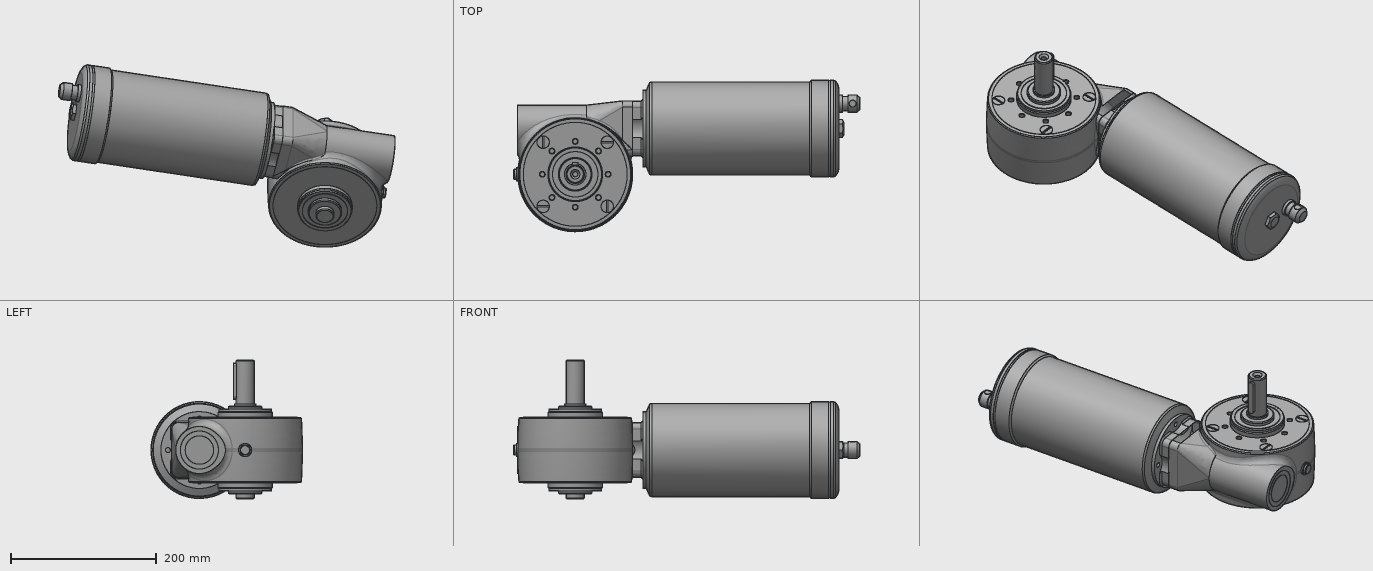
import cadquery as cq
import math


OVERALL_LENGTH = 474.5
PLUG_TIP_X = -84.5
GLAND_END_X = PLUG_TIP_X + OVERALL_LENGTH
MOTOR_Y = 62.5

HOUSING_HALF_HEIGHT = 45.0
HOUSING_MID_RADIUS = 78.5
HOUSING_RIM_RADIUS = 77.5
HOUSING_RIM_CHAMFER = 1.5
CROWN_SHARE = 0.6
SEAM_HALF_WIDTH = 1.5
LID_RADIUS = 71.0
LID_STEP = 0.5

HUB_RADIUS = 37.5
HUB_TOP_RADIUS = 36.0
HUB_STEP_Z = 51.0
HUB_STEP_HEIGHT = 1.5
HUB_END_Z = 56.0
SEAL_RADIUS = 62.0 / 2
SEAL_RECESS = 1.0
COLLAR_RADIUS = 46.0 / 2
COLLAR_END_Z = 60.0
COLLAR_CHAMFER = 1.5
SPACER_RADIUS = 14.5
SPACER_TOP_Z = 63.0
SHAFT_RADIUS = 25.0 / 2
SHAFT_TOP_Z = 123.5
SHAFT_BOTTOM_Z = -67.0
SHAFT_CHAMFER = 1.5
SINK_ANGLE = 90
CENTRE_HOLE_DIAMETER = 7.0
CENTRE_SINK_DIAMETER = 13.0
CENTRE_HOLE_DEPTH = 14.0
KEY_WIDTH = 8.0
KEY_BOTTOM_Z = 69.2
KEY_TOP_Z = 119.0
KEY_CROWN_Y = 16.0

TAPPED_HOLE_COUNT = 8
TAPPED_CIRCLE_RADIUS = 45.0
TAPPED_DIAMETER = 6.5
TAPPED_SINK_DIAMETER = 8.0
TAPPED_DEPTH = 9.5
SCREW_COUNT = 4
FIRST_SCREW_ANGLE = 45
SCREW_CIRCLE_RADIUS = 62.0
SCREW_DIAMETER = 17.0
SCREW_RECESS = 0.5
SLOT_WIDTH = 2.0
SLOT_DEPTH = 2.0

WORM_RADIUS = 32.3
WORM_START_X = -79.0
WORM_BLEND_RADIUS = 10.5
WORM_CAP_RADIUS = 52.0 / 2
WORM_CAP_INNER_RADIUS = 19.5
WORM_CAP_STEP = 0.5
TRANSITION_START_X = 15.5
LOFT_FLAT = 0.5
BLOCK_START_X = 64.5
NECK_START_X = 78.5
WORM_OVERRUN = 47.5
JUNCTION_MARGIN = 2.0
BLOCK_HALF_WIDTH = 38.0
BLOCK_CORNER_RADIUS = 8.5
BLOCK_BLEND_RADIUS = 3.0
BLEND_PICK_X = 50.0
BLEND_PICK_Y = 59.8
PLATE_START_X = 92.5
PLATE_RADIUS = 52.5
FLARE_HEIGHT = 2.5
FLARE_ANGLE = 45
NECK_HALF_WIDTH = 37.5
NOTCH_RADIUS = 22.0
NOTCH_DEPTH = 4.0
BOLT_COUNT = 4
BOLT_CIRCLE_RADIUS = 43.0
BOLT_HOLE_DIAMETER = 6.5
BOLT_HOLE_DEPTH = 4.5

MOTOR_RADIUS = 64.0
MOTOR_START_X = 97.0
NOSE_END_X = 102.0
NOSE_END_RADIUS = 63.0
MOTOR_SHOULDER_X = 105.0
CAP_RADIUS = 66.5
CAP_START_X = 321.0
CAP_CHAMFER = 2.5
CAP_GROOVE_X = 346.5
CAP_GROOVE_WIDTH = 3.0
CAP_GROOVE_DEPTH = 0.5
CAP_EDGE_X = 354.0
CAP_CROWN_X = 356.5
CAP_CROWN_RADIUS = 65.0
CAP_CROWN_SHARE = 0.6
CAP_END_X = 361.5
CAP_END_RADIUS = 54.0

NUT_SIDES = 6
NUT_CORNER_DIAMETER = 25.0
NUT_HEIGHT = 6.5
NUT_CHAMFER_HEIGHT = 2.5
NUT_FACE_RADIUS = 8.0
GLAND_Y = 96.8
GLAND_RADIUS = 12.0
GLAND_BASE_END_X = 365.5
GLAND_NECK_RADIUS = 10.0
GLAND_HEAD_X = 373.7
GLAND_CHAMFER_X = 385.5
GLAND_END_RADIUS = 8.0
GLAND_BUTTON_X = 380.0
GLAND_BUTTON_RADIUS = 4.7

PLUG_RADIUS = 7.0
PLUG_COLLAR_RADIUS = 9.0
PLUG_COLLAR_X = -80.5
PLUG_CHAMFER = 1.0


def x_plane(x, y=MOTOR_Y):
    """Plane across X, local x along +Y and local y along +Z."""
    return cq.Workplane("YZ", origin=(x, y, 0))


def rod(x_start, x_end, radius, y=MOTOR_Y):
    return x_plane(x_start, y).circle(radius).extrude(x_end - x_start)


def turned_along_x(profile, y):
    """Revolve (x, radius) points about the line along X at the given Y."""
    points = [(profile[0][0], 0)] + profile + [(profile[-1][0], 0)]
    outline = cq.Workplane("XY", origin=(0, y, 0)).polyline(points).close()
    return outline.revolve(360, (0, 0, 0), (1, 0, 0))


def turned_along_z(profile):
    """Revolve (radius, z) points about Z."""
    points = [(0, profile[0][1])] + profile + [(0, profile[-1][1])]
    return cq.Workplane("XZ").polyline(points).close().revolve(360, (0, 0, 0), (0, 1, 0))


def gear_barrel():
    """Slightly barrel-shaped gear housing with a stepped lid on each face."""
    rim_z = HOUSING_HALF_HEIGHT - LID_STEP
    side_z = rim_z - HOUSING_RIM_CHAMFER
    crown_z = (side_z + SEAM_HALF_WIDTH) / 2
    crown_radius = HOUSING_RIM_RADIUS + CROWN_SHARE * (HOUSING_MID_RADIUS - HOUSING_RIM_RADIUS)
    rim_top_radius = HOUSING_RIM_RADIUS - HOUSING_RIM_CHAMFER
    outline = (
        cq.Workplane("XZ")
        .moveTo(0, -rim_z)
        .lineTo(rim_top_radius, -rim_z)
        .lineTo(HOUSING_RIM_RADIUS, -side_z)
        .threePointArc((crown_radius, -crown_z), (HOUSING_MID_RADIUS, -SEAM_HALF_WIDTH))
        .lineTo(HOUSING_MID_RADIUS, SEAM_HALF_WIDTH)
        .threePointArc((crown_radius, crown_z), (HOUSING_RIM_RADIUS, side_z))
        .lineTo(rim_top_radius, rim_z)
        .lineTo(0, rim_z)
        .close()
    )
    return outline.revolve(360, (0, 0, 0), (0, 1, 0))


def lids():
    return (
        cq.Workplane("XY", origin=(0, 0, -HOUSING_HALF_HEIGHT))
        .circle(LID_RADIUS)
        .extrude(2 * HOUSING_HALF_HEIGHT)
    )


def rounded_square(half_width, corner_radius):
    side = 2 * half_width
    return cq.Sketch().rect(side, side).vertices().fillet(corner_radius)


def worm_transition():
    """Loft from the round worm housing to the square neck block."""
    length = BLOCK_START_X - TRANSITION_START_X
    nearly_round = rounded_square(WORM_RADIUS, WORM_RADIUS - LOFT_FLAT)
    square = rounded_square(BLOCK_HALF_WIDTH, BLOCK_CORNER_RADIUS)
    square = square.moved(cq.Location(cq.Vector(0, 0, length)))
    return x_plane(TRANSITION_START_X).placeSketch(nearly_round, square).loft()


def gear_housing():
    """Gear barrel blended into the worm housing and the square neck block."""
    worm = rod(WORM_START_X - WORM_OVERRUN, PLATE_START_X, WORM_RADIUS)
    housing = gear_barrel().union(worm)

    near_side_y = MOTOR_Y - WORM_RADIUS
    junction = cq.selectors.BoxSelector(
        (-HOUSING_RIM_RADIUS, near_side_y - JUNCTION_MARGIN, -WORM_RADIUS),
        (HOUSING_RIM_RADIUS, HOUSING_MID_RADIUS, WORM_RADIUS),
    )
    housing = housing.edges(junction).edges("not %CIRCLE").fillet(WORM_BLEND_RADIUS)
    cut_side = 4 * HOUSING_MID_RADIUS
    overrun = x_plane(WORM_START_X).rect(cut_side, cut_side).extrude(-WORM_OVERRUN)
    housing = housing.cut(overrun)

    block_length = NECK_START_X - BLOCK_START_X
    profile = rounded_square(BLOCK_HALF_WIDTH, BLOCK_CORNER_RADIUS)
    block = x_plane(BLOCK_START_X).placeSketch(profile).extrude(block_length)
    housing = housing.union(worm_transition().union(block))
    for side in (1, -1):
        corner_point = (BLEND_PICK_X, BLEND_PICK_Y, side * BLOCK_HALF_WIDTH)
        corner = cq.selectors.NearestToPointSelector(corner_point)
        housing = housing.edges(corner).fillet(BLOCK_BLEND_RADIUS)
    return housing.union(lids())


def worm_end_steps():
    """Two shallow round steps sunk into the end face of the worm housing."""
    outer = rod(WORM_START_X, WORM_START_X + WORM_CAP_STEP, WORM_CAP_RADIUS)
    inner = rod(WORM_START_X, WORM_START_X + 2 * WORM_CAP_STEP, WORM_CAP_INNER_RADIUS)
    return outer.union(inner)


def motor_neck():
    """Square neck flaring into the round motor plate, notched beside each bolt."""
    neck_length = PLATE_START_X - NECK_START_X
    profile = rounded_square(NECK_HALF_WIDTH, BLOCK_CORNER_RADIUS)
    neck = x_plane(NECK_START_X).placeSketch(profile).extrude(neck_length)
    foot = rounded_square(NECK_HALF_WIDTH + FLARE_HEIGHT, BLOCK_CORNER_RADIUS + FLARE_HEIGHT)
    flare = x_plane(PLATE_START_X).placeSketch(foot).extrude(-FLARE_HEIGHT, taper=FLARE_ANGLE)
    notches = (
        x_plane(NECK_START_X)
        .polarArray(NECK_HALF_WIDTH - NOTCH_DEPTH + NOTCH_RADIUS, 0, 360, BOLT_COUNT)
        .circle(NOTCH_RADIUS)
        .extrude(neck_length)
    )
    plate = rod(PLATE_START_X, MOTOR_START_X, PLATE_RADIUS)
    holes = (
        x_plane(PLATE_START_X)
        .polarArray(BOLT_CIRCLE_RADIUS, 0, 360, BOLT_COUNT)
        .circle(BOLT_HOLE_DIAMETER / 2)
        .extrude(BOLT_HOLE_DEPTH)
    )
    return neck.union(flare).cut(notches).union(plate).cut(holes)


def motor():
    """Motor can with a coned nose and a grooved, rounded end cap."""
    groove_radius = CAP_RADIUS - CAP_GROOVE_DEPTH
    groove_end_x = CAP_GROOVE_X + CAP_GROOVE_WIDTH
    round_mid = (
        CAP_CROWN_X + CAP_CROWN_SHARE * (CAP_END_X - CAP_CROWN_X),
        CAP_END_RADIUS + CAP_CROWN_SHARE * (CAP_CROWN_RADIUS - CAP_END_RADIUS),
    )
    outline = (
        cq.Workplane("XY", origin=(0, MOTOR_Y, 0))
        .moveTo(MOTOR_START_X, 0)
        .lineTo(MOTOR_START_X, PLATE_RADIUS)
        .lineTo(NOSE_END_X, NOSE_END_RADIUS)
        .lineTo(MOTOR_SHOULDER_X, MOTOR_RADIUS)
        .lineTo(CAP_START_X, MOTOR_RADIUS)
        .lineTo(CAP_START_X + CAP_CHAMFER, CAP_RADIUS)
        .lineTo(CAP_GROOVE_X, CAP_RADIUS)
        .lineTo(CAP_GROOVE_X, groove_radius)
        .lineTo(groove_end_x, groove_radius)
        .lineTo(groove_end_x, CAP_RADIUS)
        .lineTo(CAP_EDGE_X, CAP_RADIUS)
        .lineTo(CAP_CROWN_X, CAP_CROWN_RADIUS)
        .threePointArc(round_mid, (CAP_END_X, CAP_END_RADIUS))
        .lineTo(CAP_END_X, 0)
        .close()
    )
    return outline.revolve(360, (0, 0, 0), (1, 0, 0))


def end_nut():
    """Hexagon nut on the motor axis, its corners turned down at the outer face."""
    nut_end_x = CAP_END_X + NUT_HEIGHT
    corner_radius = NUT_CORNER_DIAMETER / 2
    hexagon = x_plane(CAP_END_X).polygon(NUT_SIDES, NUT_CORNER_DIAMETER).extrude(NUT_HEIGHT)
    turned_profile = [
        (CAP_END_X, corner_radius),
        (nut_end_x - NUT_CHAMFER_HEIGHT, corner_radius),
        (nut_end_x, NUT_FACE_RADIUS),
    ]
    return hexagon.intersect(turned_along_x(turned_profile, MOTOR_Y))


def cable_gland():
    """Cable gland with a waist, a coned head and a round flat on its top."""
    body = turned_along_x(
        [
            (CAP_END_X, GLAND_RADIUS),
            (GLAND_BASE_END_X, GLAND_RADIUS),
            (GLAND_BASE_END_X, GLAND_NECK_RADIUS),
            (GLAND_HEAD_X, GLAND_NECK_RADIUS),
            (GLAND_HEAD_X, GLAND_RADIUS),
            (GLAND_CHAMFER_X, GLAND_RADIUS),
            (GLAND_END_X, GLAND_END_RADIUS),
        ],
        GLAND_Y,
    )
    button = (
        cq.Workplane("XY", origin=(GLAND_BUTTON_X, GLAND_Y, 0))
        .circle(GLAND_BUTTON_RADIUS)
        .extrude(GLAND_RADIUS)
    )
    return body.union(button)


def hub_profile(side):
    """Points of the hub and collar above (side = 1) or below (side = -1) the housing."""
    upper_profile = [
        (HUB_RADIUS, 0),
        (HUB_RADIUS, HUB_STEP_Z),
        (HUB_TOP_RADIUS, HUB_STEP_Z + HUB_STEP_HEIGHT),
        (HUB_TOP_RADIUS, HUB_END_Z),
        (SEAL_RADIUS, HUB_END_Z),
        (SEAL_RADIUS, HUB_END_Z - SEAL_RECESS),
        (COLLAR_RADIUS, HUB_END_Z - SEAL_RECESS),
        (COLLAR_RADIUS, COLLAR_END_Z - COLLAR_CHAMFER),
        (COLLAR_RADIUS - COLLAR_CHAMFER, COLLAR_END_Z),
    ]
    return [(radius, side * z) for radius, z in upper_profile]


def output_shaft():
    """Shaft through both hubs, with a centre hole at its upper end."""
    length = SHAFT_TOP_Z - SHAFT_BOTTOM_Z
    shaft = (
        cq.Workplane("XY", origin=(0, 0, SHAFT_BOTTOM_Z))
        .circle(SHAFT_RADIUS)
        .extrude(length)
        .faces("<Z or >Z")
        .chamfer(SHAFT_CHAMFER)
    )
    spacer = cq.Workplane("XY").circle(SPACER_RADIUS).extrude(SPACER_TOP_Z)
    key_height = KEY_TOP_Z - KEY_BOTTOM_Z
    key = (
        cq.Workplane("XZ", origin=(0, 0, (KEY_TOP_Z + KEY_BOTTOM_Z) / 2))
        .slot2D(key_height, KEY_WIDTH, 90)
        .extrude(-KEY_CROWN_Y)
    )
    return shaft.union(spacer).union(key)


def drill_centre_hole(body):
    return body.copyWorkplane(cq.Workplane("XY", origin=(0, 0, SHAFT_TOP_Z))).cskHole(
        CENTRE_HOLE_DIAMETER, CENTRE_SINK_DIAMETER, SINK_ANGLE, CENTRE_HOLE_DEPTH
    )


def drill_tapped_holes(body):
    lid_face = cq.Workplane("XY", origin=(0, 0, HOUSING_HALF_HEIGHT))
    return (
        body.copyWorkplane(lid_face)
        .polarArray(TAPPED_CIRCLE_RADIUS, 0, 360, TAPPED_HOLE_COUNT)
        .cskHole(TAPPED_DIAMETER, TAPPED_SINK_DIAMETER, SINK_ANGLE, TAPPED_DEPTH)
    )


def screw_cuts():
    """Sunken faces of the four slotted lid screws; the slots turn by 90 degrees each."""
    cuts = cq.Workplane("XY")
    for index in range(SCREW_COUNT):
        turn = index * 360 / SCREW_COUNT
        angle = math.radians(turn + FIRST_SCREW_ANGLE)
        x = SCREW_CIRCLE_RADIUS * math.cos(angle)
        y = SCREW_CIRCLE_RADIUS * math.sin(angle)
        face = cq.Workplane("XY", origin=(x, y, HOUSING_HALF_HEIGHT))
        recess = face.circle(SCREW_DIAMETER / 2).extrude(-SCREW_RECESS)
        slot = face.rect(SCREW_DIAMETER, SLOT_WIDTH).extrude(-SLOT_DEPTH - SCREW_RECESS)
        slot = slot.rotate((x, y, 0), (x, y, 1), turn)
        cuts = cuts.union(recess).union(slot)
    return cuts


def oil_plug():
    root_x = -HOUSING_RIM_RADIUS
    return turned_along_x(
        [
            (PLUG_TIP_X, PLUG_RADIUS - PLUG_CHAMFER),
            (PLUG_TIP_X + PLUG_CHAMFER, PLUG_RADIUS),
            (PLUG_COLLAR_X, PLUG_RADIUS),
            (PLUG_COLLAR_X, PLUG_COLLAR_RADIUS),
            (root_x, PLUG_COLLAR_RADIUS),
        ],
        0,
    )


gearbox = gear_housing().cut(worm_end_steps()).union(oil_plug())
for side in (1, -1):
    gearbox = gearbox.union(turned_along_z(hub_profile(side)))
gearbox = gearbox.union(output_shaft()).cut(screw_cuts())
gearbox = drill_tapped_holes(drill_centre_hole(gearbox))

drive = motor_neck().union(motor()).union(end_nut()).union(cable_gland())
result = gearbox.union(drive)